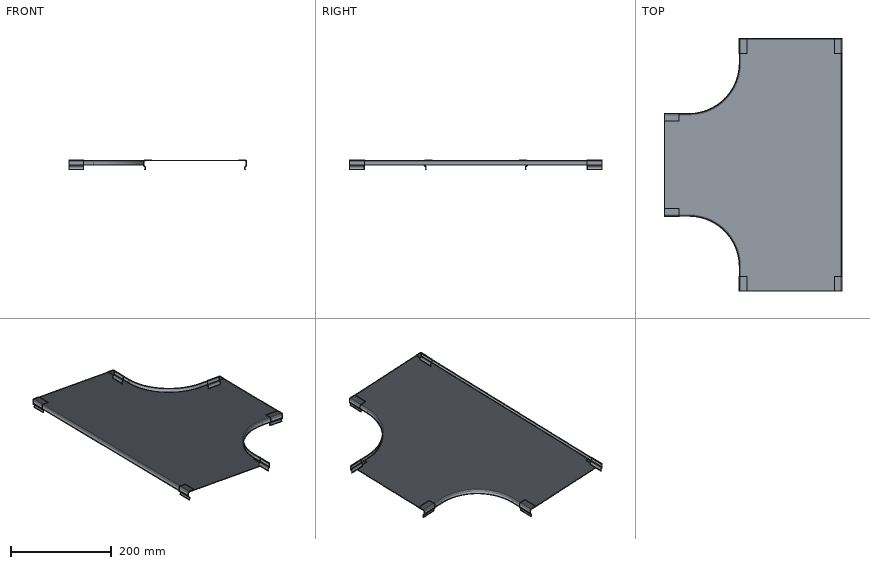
import cadquery as cq
import math

SHEET = 0.6
LENGTH = 502.5
ARM_WIDTH = 204.0
CURVE_RADIUS = 100.0
RIM_DEPTH = 9.5
RIM_ROUNDING = 2.5

ARM_REACH = (LENGTH - ARM_WIDTH) / 2
ARM_STRAIGHT = ARM_REACH - CURVE_RADIUS
LID_DEPTH = ARM_REACH + ARM_WIDTH

CLIP_WIDTH = 29.5
CLIP_HEIGHT = 19.0
FLAP_LENGTH = 15.0
HOOK_BEND_RADIUS = 1.5
HOOK_BEND_ANGLE = math.radians(65)
LIP_RADIUS = 4.0
LIP_FLARE_ANGLE = math.radians(45)

HOOK_BEND_OUTER = HOOK_BEND_RADIUS + SHEET
LIP_OUTER = LIP_RADIUS + SHEET
HOOK_DROP = (HOOK_BEND_OUTER + LIP_RADIUS) * math.sin(HOOK_BEND_ANGLE)
LIP_DROP = LIP_OUTER * math.sin(LIP_FLARE_ANGLE)
HOOK_TOP = CLIP_HEIGHT - SHEET - HOOK_DROP - LIP_DROP


def make_lid():
    half_length = LENGTH / 2
    half_arm = ARM_WIDTH / 2
    curve_center_y = half_arm + CURVE_RADIUS
    curve_middle = CURVE_RADIUS * math.sqrt(0.5)
    middle_x = ARM_STRAIGHT + curve_middle
    middle_y = curve_center_y - curve_middle
    block = (
        cq.Workplane("XY")
        .moveTo(0, -half_arm)
        .lineTo(ARM_STRAIGHT, -half_arm)
        .threePointArc((middle_x, -middle_y), (ARM_REACH, -curve_center_y))
        .lineTo(ARM_REACH, -half_length)
        .lineTo(LID_DEPTH, -half_length)
        .lineTo(LID_DEPTH, half_length)
        .lineTo(ARM_REACH, half_length)
        .lineTo(ARM_REACH, curve_center_y)
        .threePointArc((middle_x, middle_y), (ARM_STRAIGHT, half_arm))
        .lineTo(0, half_arm)
        .close()
        .extrude(-RIM_DEPTH)
    )
    rounded = block.edges(">Z exc (<X or <Y or >Y)").fillet(RIM_ROUNDING)
    underside_and_open_ends = rounded.faces("<Z or <X or <Y or >Y")
    return underside_and_open_ends.shell(-SHEET)


def polar(center, radius, angle):
    return (center[0] + radius * math.cos(angle), center[1] + radius * math.sin(angle))


def make_clip():
    """Clip for a rim whose outer face is X = 0, lid towards +X, one end face on Y = 0."""
    top_center = (RIM_ROUNDING, -RIM_ROUNDING)
    top_outer = RIM_ROUNDING + SHEET
    bend_center = (HOOK_BEND_RADIUS, -HOOK_TOP)
    bend_end = math.pi + HOOK_BEND_ANGLE
    lip_center = polar(bend_center, HOOK_BEND_OUTER + LIP_RADIUS, bend_end)
    lip_start = HOOK_BEND_ANGLE
    lip_end = -LIP_FLARE_ANGLE
    bend_middle = (math.pi + bend_end) / 2
    lip_middle = (lip_start + lip_end) / 2
    corner = math.radians(135)
    profile = (
        cq.Workplane("XZ")
        .moveTo(FLAP_LENGTH, SHEET)
        .lineTo(RIM_ROUNDING, SHEET)
        .threePointArc(polar(top_center, top_outer, corner), (-SHEET, -RIM_ROUNDING))
        .lineTo(-SHEET, -HOOK_TOP)
        .threePointArc(
            polar(bend_center, HOOK_BEND_OUTER, bend_middle),
            polar(bend_center, HOOK_BEND_OUTER, bend_end),
        )
        .threePointArc(polar(lip_center, LIP_RADIUS, lip_middle), polar(lip_center, LIP_RADIUS, lip_end))
        .lineTo(*polar(lip_center, LIP_OUTER, lip_end))
        .threePointArc(polar(lip_center, LIP_OUTER, lip_middle), polar(lip_center, LIP_OUTER, lip_start))
        .threePointArc(polar(bend_center, HOOK_BEND_RADIUS, bend_middle), (0, -HOOK_TOP))
        .lineTo(0, -RIM_ROUNDING)
        .threePointArc(polar(top_center, RIM_ROUNDING, corner), (RIM_ROUNDING, 0))
        .lineTo(FLAP_LENGTH, 0)
        .close()
    )
    return profile.extrude(-CLIP_WIDTH)


def make_clips():
    """One clip at both sides of each open end, flush with the end."""
    clip = make_clip()
    branch_clip = clip.mirror("XZ").rotate((0, 0, 0), (0, 0, 1), 90).translate((0, -ARM_WIDTH / 2, 0))
    near_side_clips = [
        branch_clip,
        clip.translate((ARM_REACH, -LENGTH / 2, 0)),
        clip.mirror("YZ").translate((LID_DEPTH, -LENGTH / 2, 0)),
    ]
    clips = []
    for near_clip in near_side_clips:
        clips.append(near_clip.val())
        clips.append(near_clip.mirror("XZ").val())
    return clips


lid = make_lid()
clips = make_clips()
result = cq.Compound.makeCompound([lid.val(), *clips])